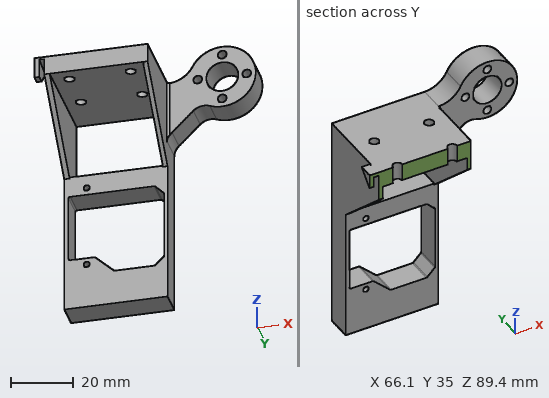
import cadquery as cq
import math

body_width = 34.0
body_depth = 35.0
plate_thickness = 9.0
total_height = 89.4
ring_radius = 11.0
ring_x = 51.9
ring_z = total_height - ring_radius
body_top = ring_z

shelf_thickness = 6.4
shelf_underside = body_top - shelf_thickness
rib_foot_z = 47.9
left_rib = 1.8
right_rib = 1.5
opening_bottom = 48.35

hook_width = 3.2
hook_height = 7.15
hook_back_y = -24.9
hook_foot_y = -31.9
slot_width = 1.6
slot_front_roof = 0.8
slot_back_roof = 2.0

shelf_hole_diameter = 3.3
shelf_hole_xs = (7.1, 27.2)
shelf_hole_ys = (-15.0, -30.0)

cutout_left = 1.4
cutout_right = 32.8
cutout_bottom = 12.0
cutout_step_z = 17.9
cutout_top = 41.2
cutout_chamfer = 3.0
cutout_step_x = 10.1
cutout_step_run = 6.35
cutout_corner_radius = 0.5
plate_hole_diameter = 2.0
plate_hole_x = 7.4
plate_hole_zs = (15.55, 43.7)

bore_diameter = 10.5
bolt_hole_diameter = 2.9
bolt_circle_radius = 8.0
upper_fillet = 9.0
lower_fillet = 5.0
lower_fillet_dx = 6.0
web_width = 0.7


def extrude_forward(sketch, depth):
    """Extrude an XZ sketch from the back face towards -Y."""
    return sketch.extrude(depth)


def make_box(x0, x1, y0, y1, z0, z1):
    return cq.Workplane("XY").box(x1 - x0, y1 - y0, z1 - z0, centered=False).translate((x0, y0, z0))


def make_body():
    side = [
        (0, 0),
        (0, body_top),
        (-body_depth, body_top),
        (-body_depth, shelf_underside),
        (-plate_thickness, rib_foot_z),
        (-plate_thickness, 0),
    ]
    body = cq.Workplane("YZ").polyline(side).close().extrude(body_width)
    opening = make_box(left_rib, body_width - right_rib, -body_depth, 0, opening_bottom, shelf_underside)
    wedge = make_box(
        left_rib, body_width - right_rib, -body_depth, -plate_thickness, rib_foot_z, opening_bottom
    )
    return body.cut(opening).cut(wedge)


def make_hook():
    side = [
        (hook_back_y, body_top),
        (-body_depth, body_top),
        (-body_depth, body_top - hook_height),
        (hook_foot_y, body_top - hook_height),
    ]
    hook = cq.Workplane("YZ").polyline(side).close().extrude(-hook_width)
    slope = (hook_foot_y - hook_back_y) / hook_height
    slot_back_y = hook_back_y + slope * slot_back_roof
    slot_side = [
        (-body_depth, body_top - slot_front_roof),
        (slot_back_y, body_top - slot_back_roof),
        (slot_back_y, body_top - hook_height),
        (-body_depth, body_top - hook_height),
    ]
    slot = cq.Workplane("YZ").polyline(slot_side).close().extrude(-slot_width)
    return hook.cut(slot)


def make_arm_outline():
    upper_reach = upper_fillet + ring_radius
    upper_x = ring_x - math.sqrt(upper_reach**2 - upper_fillet**2)
    upper_z = body_top + upper_fillet
    upper_angle = math.atan2(ring_z - upper_z, ring_x - upper_x)
    upper_mid = (upper_angle - math.pi / 2) / 2

    lower_x = ring_x - lower_fillet_dx
    lower_z = ring_z - math.sqrt((lower_fillet + ring_radius) ** 2 - lower_fillet_dx**2)
    lower_angle = math.atan2(ring_z - lower_z, lower_fillet_dx)
    edge_angle = math.radians(135)
    lower_mid = (lower_angle + edge_angle) / 2

    edge_offset = lower_z - lower_x + lower_fillet * math.sqrt(2)
    corner_z = body_width + edge_offset
    root_x = body_width + lower_fillet
    root_mid = (edge_angle + math.pi) / 2
    root_z = corner_z - lower_fillet * math.tan(math.pi / 8)

    def on_circle(x, z, radius, angle):
        return (x + radius * math.cos(angle), z + radius * math.sin(angle))

    inner_x = body_width - right_rib
    return (
        cq.Workplane("XZ")
        .moveTo(inner_x, body_top)
        .lineTo(upper_x, body_top)
        .threePointArc(
            on_circle(upper_x, upper_z, upper_fillet, upper_mid),
            on_circle(upper_x, upper_z, upper_fillet, upper_angle),
        )
        .threePointArc(
            (ring_x + ring_radius, ring_z),
            on_circle(lower_x, lower_z, lower_fillet, lower_angle),
        )
        .threePointArc(
            on_circle(lower_x, lower_z, lower_fillet, lower_mid),
            on_circle(lower_x, lower_z, lower_fillet, edge_angle),
        )
        .lineTo(*on_circle(root_x, root_z, lower_fillet, edge_angle))
        .threePointArc(
            on_circle(root_x, root_z, lower_fillet, root_mid),
            (body_width, root_z),
        )
        .lineTo(inner_x, root_z)
        .close()
    )


def make_arm():
    arm = extrude_forward(make_arm_outline(), plate_thickness)
    bore = extrude_forward(cq.Workplane("XZ").center(ring_x, ring_z).circle(bore_diameter / 2), plate_thickness)
    bolt_holes = extrude_forward(
        cq.Workplane("XZ")
        .center(ring_x, ring_z)
        .polarArray(bolt_circle_radius, 0, 360, 4)
        .circle(bolt_hole_diameter / 2),
        plate_thickness,
    )
    web = (
        cq.Workplane("XY")
        .moveTo(body_width, -plate_thickness)
        .lineTo(body_width + web_width, -plate_thickness)
        .lineTo(body_width, -plate_thickness - web_width)
        .close()
        .extrude(body_top)
        .intersect(extrude_forward(make_arm_outline(), body_depth))
    )
    return arm.cut(bore).cut(bolt_holes).union(web)


def make_cutout():
    outline = [
        (cutout_left, cutout_top),
        (cutout_right - cutout_chamfer, cutout_top),
        (cutout_right, cutout_top - cutout_chamfer),
        (cutout_right, cutout_bottom + cutout_chamfer),
        (cutout_right - cutout_chamfer, cutout_bottom),
        (cutout_step_x + cutout_step_run, cutout_bottom),
        (cutout_step_x, cutout_step_z),
        (cutout_left, cutout_step_z),
    ]
    cutout = extrude_forward(cq.Workplane("XZ").polyline(outline).close(), plate_thickness)
    return cutout.edges("|Y").fillet(cutout_corner_radius)


def make_plate_holes():
    centres = [(plate_hole_x, z) for z in plate_hole_zs]
    return extrude_forward(
        cq.Workplane("XZ").pushPoints(centres).circle(plate_hole_diameter / 2), plate_thickness
    )


def make_shelf_holes():
    centres = [(x, y) for x in shelf_hole_xs for y in shelf_hole_ys]
    return (
        cq.Workplane("XY", origin=(0, 0, shelf_underside))
        .pushPoints(centres)
        .circle(shelf_hole_diameter / 2)
        .extrude(shelf_thickness)
    )


result = (
    make_body()
    .union(make_hook())
    .union(make_arm())
    .cut(make_cutout())
    .cut(make_plate_holes())
    .cut(make_shelf_holes())
)